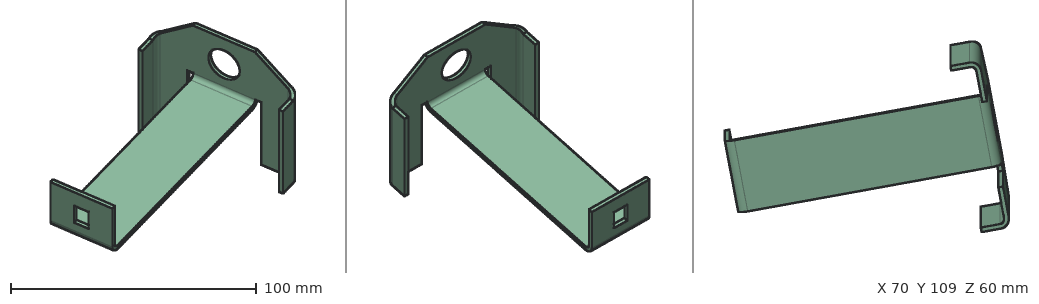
import cadquery as cq
import math

sheet = 2.0
inner_radius = 2.1
outer_radius = inner_radius + sheet

width = 70.0
height = 60.0
shoulder_height = 47.9
notch_width = 36.0
round_hole_diameter = 15.0
round_hole_height = 46.0

flange_depth = 12.0
flange_height = 44.8

length = 109.0
arm_width = 30.0
arm_bottom = 30.0
tip_height = 54.9
tip_hole_width = 7.0
tip_hole_height = 9.2
tip_hole_bottom = 38.4

plate_half_width = width / 2 - outer_radius
top_edge_width = arm_width
notch_top = arm_bottom + outer_radius


def make_plate():
    """Flat back plate between the two flange bends, with its notch and round hole."""
    plate = (
        cq.Workplane("XZ")
        .polyline([
            (-plate_half_width, 0),
            (-notch_width / 2, 0),
            (-notch_width / 2, notch_top),
            (notch_width / 2, notch_top),
            (notch_width / 2, 0),
            (plate_half_width, 0),
            (plate_half_width, shoulder_height),
            (top_edge_width / 2, height),
            (-top_edge_width / 2, height),
            (-plate_half_width, shoulder_height),
        ])
        .close()
        .extrude(sheet)
    )
    round_hole = (
        cq.Workplane("XZ")
        .center(0, round_hole_height)
        .circle(round_hole_diameter / 2)
        .extrude(sheet)
    )
    return plate.cut(round_hole)


def make_flange_bend():
    """Right-hand quarter bend whose top edge climbs as a helix from flange to plate."""
    rise = shoulder_height - flange_height
    pitch = 4 * rise

    def top_edge(radius):
        helix = cq.Wire.makeHelix(pitch, rise, radius, center=cq.Vector(0, 0, flange_height))
        return helix.Edges()[0]

    def bottom_edge(radius):
        diagonal = radius * math.sqrt(0.5)
        return cq.Edge.makeThreePointArc(
            cq.Vector(radius, 0, 0), cq.Vector(diagonal, diagonal, 0), cq.Vector(0, radius, 0)
        )

    def end_face(direction_x, direction_y, top):
        corners = [(inner_radius, 0), (outer_radius, 0), (outer_radius, top), (inner_radius, top)]
        points = [cq.Vector(r * direction_x, r * direction_y, z) for r, z in corners]
        return cq.Face.makeFromWires(cq.Wire.makePolygon(points, close=True))

    outer_top = top_edge(outer_radius)
    inner_top = top_edge(inner_radius)
    outer_bottom = bottom_edge(outer_radius)
    inner_bottom = bottom_edge(inner_radius)
    faces = [
        cq.Face.makeRuledSurface(inner_top, outer_top),
        cq.Face.makeRuledSurface(inner_bottom, outer_bottom),
        cq.Face.makeRuledSurface(outer_bottom, outer_top),
        cq.Face.makeRuledSurface(inner_bottom, inner_top),
        end_face(1, 0, flange_height),
        end_face(0, 1, shoulder_height),
    ]
    bend = cq.Solid.makeSolid(cq.Shell.makeShell(faces)).fix()
    return cq.Workplane(bend).translate((plate_half_width, -outer_radius, 0))


def make_flange():
    """Right-hand flange: the bend and the flat strip in front of it."""
    strip = cq.Workplane("XY").box(
        sheet, flange_depth - outer_radius, flange_height, centered=False
    ).translate((width / 2 - sheet, -flange_depth, 0))
    return make_flange_bend().union(strip)


def make_arm():
    """Bent strip from the plate's notch out to the upturned, pierced tip."""
    quarter = math.sqrt(0.5)
    bend_height = notch_top
    rear_bend_y = -outer_radius
    tip_bend_y = -length + outer_radius
    arm = (
        cq.Workplane("YZ")
        .moveTo(0, bend_height)
        .threePointArc(
            (rear_bend_y + outer_radius * quarter, bend_height - outer_radius * quarter),
            (rear_bend_y, arm_bottom),
        )
        .lineTo(tip_bend_y, arm_bottom)
        .threePointArc(
            (tip_bend_y - outer_radius * quarter, bend_height - outer_radius * quarter),
            (-length, bend_height),
        )
        .lineTo(-length, tip_height)
        .lineTo(-length + sheet, tip_height)
        .lineTo(-length + sheet, bend_height)
        .threePointArc(
            (tip_bend_y - inner_radius * quarter, bend_height - inner_radius * quarter),
            (tip_bend_y, arm_bottom + sheet),
        )
        .lineTo(rear_bend_y, arm_bottom + sheet)
        .threePointArc(
            (rear_bend_y + inner_radius * quarter, bend_height - inner_radius * quarter),
            (-sheet, bend_height),
        )
        .close()
        .extrude(arm_width / 2, both=True)
    )
    tip_hole = cq.Workplane("XY").box(
        tip_hole_width, sheet, tip_hole_height, centered=(True, False, False)
    ).translate((0, -length, tip_hole_bottom))
    return arm.cut(tip_hole)


right_flange = make_flange()
left_flange = right_flange.mirror("YZ")
result = make_plate().union(right_flange).union(left_flange).union(make_arm())